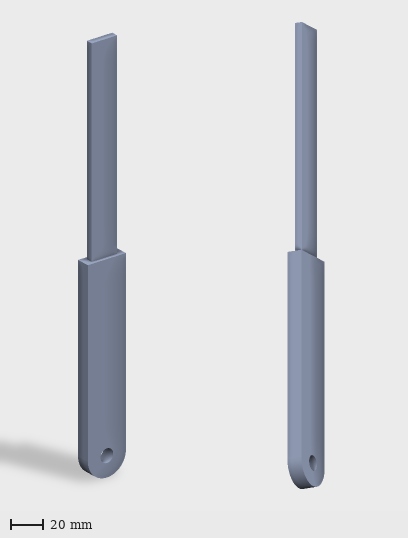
import cadquery as cq

total_length = 300.0
handle_length = total_length / 2
handle_width = 30.0
handle_thickness = handle_width / 3

blade_length = total_length - handle_length
blade_width = handle_width * 2 / 3
blade_thickness = handle_thickness / 2

end_radius = handle_width / 2
hole_diameter = handle_width / 3


def make_handle():
    """Flat bar with a full round at the bottom, centred on the X and Y axes."""
    outline = (
        cq.Workplane("YZ")
        .moveTo(-end_radius, handle_length)
        .lineTo(-end_radius, end_radius)
        .threePointArc((0, 0), (end_radius, end_radius))
        .lineTo(end_radius, handle_length)
        .close()
    )
    return outline.extrude(handle_thickness / 2, both=True)


def make_blade():
    """Thin rectangular strip rising from the top of the handle."""
    return (
        cq.Workplane("XY", origin=(0, 0, handle_length))
        .rect(blade_thickness, blade_width)
        .extrude(blade_length)
    )


def make_hanging_hole():
    """Cylinder that cuts through the full thickness of the handle."""
    return (
        cq.Workplane("YZ", origin=(0, 0, end_radius))
        .circle(hole_diameter / 2)
        .extrude(handle_thickness, both=True)
    )


result = make_handle().union(make_blade()).cut(make_hanging_hole())